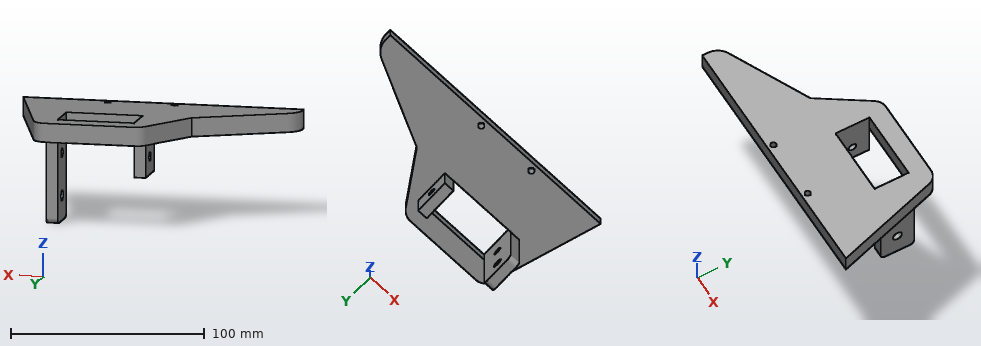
import cadquery as cq

length = 148.5
depth = 66.0
plate_thickness = 10.0
total_height = 55.0
waist = (51.4, 34.9)
nose_height = 9.8
top_left_x = 71.6
top_right_x = 127.5
nose_radius = 10.0
top_radius = 7.5

window_left = 77.2
window_length = 40.4
window_front = 34.9
window_width = 20.2

plate_hole_diameter = 3.3
plate_hole_y = 3.5
plate_hole_xs = (67.6, 103.0)

tab_thickness = 6.1
short_tab_left = window_left - tab_thickness
short_tab_length = 18.7
upper_hole_diameter = 4.5
upper_hole_drop = short_tab_length / 2
long_tab_left = window_left + window_length
long_tab_length = total_height - plate_thickness
lower_hole_diameter = 5.3
lower_hole_drop = 31.8
long_tab_corner_radius = 3.0
tab_center_y = window_front + window_width / 2


def make_plate():
    """Plate with rounded nose and top corners; its underside lies on Z = 0."""
    outline = [
        (0, 0),
        (length, 0),
        (top_right_x, depth),
        (top_left_x, depth),
        waist,
        (0, nose_height),
    ]
    plate = cq.Workplane("XY").polyline(outline).close().extrude(plate_thickness)
    plate = plate.edges("|Z and >Y").fillet(top_radius)
    nose_point = (0, nose_height, plate_thickness / 2)
    plate = plate.edges(cq.selectors.NearestToPointSelector(nose_point)).fillet(nose_radius)
    window = cq.Workplane("XY").box(
        window_length, window_width, plate_thickness, centered=False
    ).translate((window_left, window_front, 0))
    holes = (
        cq.Workplane("XY")
        .pushPoints([(x, plate_hole_y) for x in plate_hole_xs])
        .circle(plate_hole_diameter / 2)
        .extrude(plate_thickness)
    )
    return plate.cut(window).cut(holes)


def make_tab(left, drop):
    """Upright tab below the plate, as wide as the opening."""
    tab = cq.Workplane("XY").box(tab_thickness, window_width, drop, centered=False)
    return tab.translate((left, window_front, -drop))


def make_tab_hole(left, diameter, drop):
    """Cylinder along X that pierces the tab starting at the given X."""
    center = (left, tab_center_y, -drop)
    return cq.Workplane("YZ", origin=center).circle(diameter / 2).extrude(tab_thickness)


short_tab = make_tab(short_tab_left, short_tab_length)
short_tab = short_tab.cut(make_tab_hole(short_tab_left, upper_hole_diameter, upper_hole_drop))

long_tab = make_tab(long_tab_left, long_tab_length)
long_tab = long_tab.edges("|X and <Z").fillet(long_tab_corner_radius)
long_tab = long_tab.cut(make_tab_hole(long_tab_left, upper_hole_diameter, upper_hole_drop))
long_tab = long_tab.cut(make_tab_hole(long_tab_left, lower_hole_diameter, lower_hole_drop))

result = make_plate().union(short_tab).union(long_tab)